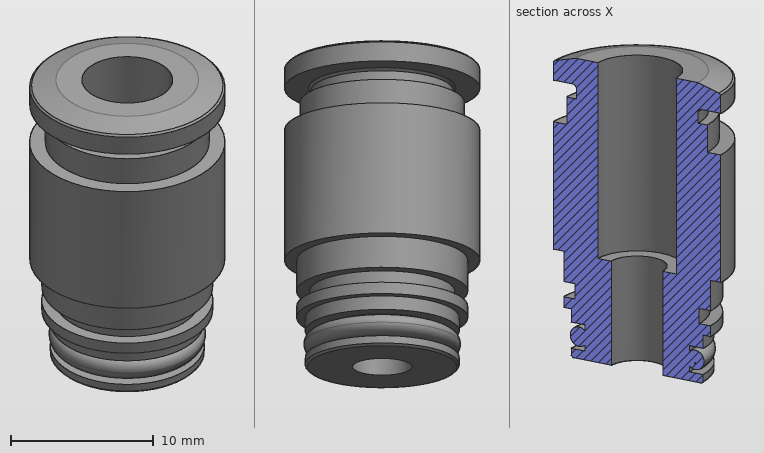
import cadquery as cq

body_dia = 13.7
head_face_dia = 10.0
head_cone_dia = 13.4
collar_dia = 11.5
spigot_dia = 12.0
recess_dia = 10.2
tip_dia = 10.8
groove_dia = 8.6
ring_dia = 10.97
tube_bore_dia = 6.35
through_bore_dia = 4.2

tip_top = 0.7
groove_top = 2.6
flange_bottom = 3.6
flange_top = 4.42
spigot_bottom = 5.5
sleeve_bottom = 7.75
sleeve_top = 17.25
collar_top = 19.3
head_bottom = 20.32
head_side_top = 21.7
head_cone_bottom = 21.83
total_height = 22.3

tip_chamfer = 0.15
neck_flare = 0.18
ring_thickness = 1.47
tube_stop = sleeve_bottom


def cylinder(diameter, bottom, top):
    """Solid cylinder about Z between two heights."""
    return cq.Workplane("XY").workplane(offset=bottom).circle(diameter / 2).extrude(top - bottom)


def make_body():
    """Stack of round steps from the tip up to the underside of the head."""
    body = cylinder(tip_dia, 0, tip_top).faces("<Z").edges().chamfer(tip_chamfer)
    steps = [
        (groove_dia, tip_top, groove_top),
        (tip_dia, groove_top, flange_bottom),
        (spigot_dia, flange_bottom, flange_top),
        (recess_dia, flange_top, spigot_bottom),
        (spigot_dia, spigot_bottom, sleeve_bottom),
        (body_dia, sleeve_bottom, sleeve_top),
        (collar_dia, sleeve_top, collar_top),
    ]
    for diameter, bottom, top in steps:
        body = body.union(cylinder(diameter, bottom, top))
    return body


def make_head():
    """Release head: flared neck, rim, and a shallow cone with a beveled edge."""
    neck_radius = head_face_dia / 2
    return (
        cq.Workplane("XZ")
        .moveTo(0, collar_top)
        .lineTo(neck_radius, collar_top)
        .lineTo(neck_radius, head_bottom - neck_flare)
        .lineTo(neck_radius + neck_flare, head_bottom)
        .lineTo(body_dia / 2, head_bottom)
        .lineTo(body_dia / 2, head_side_top)
        .lineTo(head_cone_dia / 2, head_cone_bottom)
        .lineTo(head_face_dia / 2, total_height)
        .lineTo(0, total_height)
        .close()
        .revolve(360, (0, 0, 0), (0, 1, 0))
    )


def make_sealing_ring():
    """Round-section ring seated in the middle of the groove."""
    center_radius = (ring_dia - ring_thickness) / 2
    center_height = (tip_top + groove_top) / 2
    return (
        cq.Workplane("XZ")
        .center(center_radius, center_height)
        .circle(ring_thickness / 2)
        .revolve(360, (-center_radius, 0, 0), (-center_radius, 1, 0))
    )


part = make_body().union(make_head()).union(make_sealing_ring())
part = part.cut(cylinder(through_bore_dia, 0, total_height))
result = part.cut(cylinder(tube_bore_dia, tube_stop, total_height))